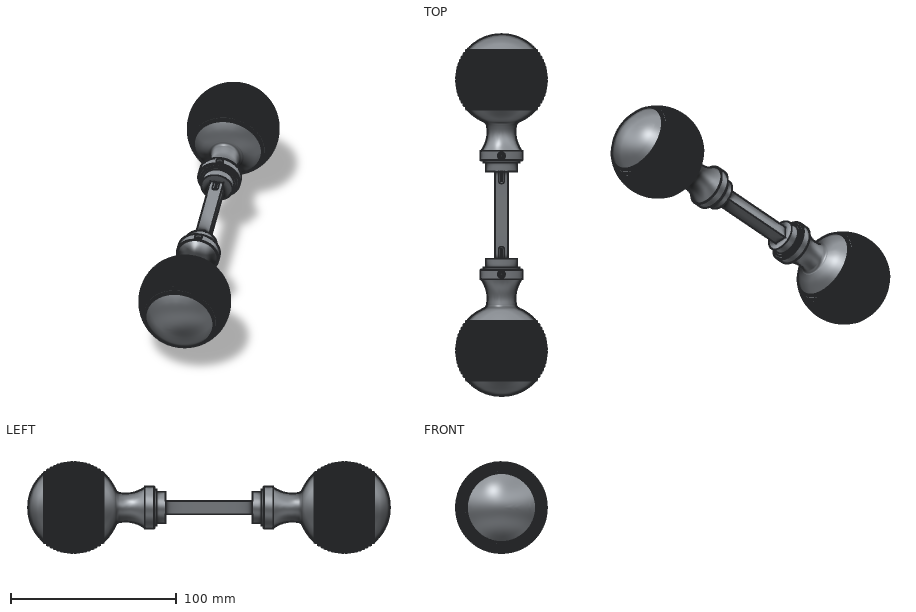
import cadquery as cq
import math

overall_length = 218.2
ball_radius = 27.5
ball_center_y = overall_length / 2 - ball_radius

rib_count = 18
rib_pitch = 2.0
rib_chamfer_length = rib_pitch / 3
rib_chamfer_depth = 0.5
band_half_width = rib_count * rib_pitch / 2

collar_radius = 12.9
collar_start_y = 32.7
collar_end_y = 38.6
collar_chamfer = 0.7
neck_wide_radius = 12.2
neck_radius = 9.0
neck_middle_y = 46.0
neck_end_y = 54.3
neck_fillet_end_radius = 11.0

bush_start_y = 26.2
bush_radius = 9.5
bush_flange_y = 31.5
bush_flange_radius = 11.0

spindle_side = 8.0
spindle_end_y = 43.6
groove_end_y = 19.0
groove_top_radius = 1.7
groove_floor_radius = 0.5
groove_depth = 0.7

screw_radius = 2.2
screw_top_z = 10.7
screw_chamfer = 0.7
socket_across_flats = 2.0
socket_depth = 2.0

spindle_top_z = spindle_side / 2
groove_floor_z = spindle_top_z - groove_depth
groove_center_y = groove_end_y + groove_top_radius
screw_y = (collar_start_y + collar_end_y) / 2


def ball_radius_at(offset):
    """Radius of the ball's cross-section at a distance from its centre along Y."""
    return math.sqrt(ball_radius**2 - offset**2)


def ball_point(y):
    return (ball_radius_at(y - ball_center_y), y)


def revolved(outline):
    return outline.close().revolve(360, (0, 0, 0), (0, 1, 0))


def rib_outline_points():
    """Corners of the chamfered ribs, whose crests lie on the ball at the middle of each rib."""
    points = []
    for index in range(rib_count):
        offset = (index - (rib_count - 1) / 2) * rib_pitch
        crest_radius = ball_radius_at(offset)
        root_radius = crest_radius - rib_chamfer_depth
        start_y = ball_center_y + offset - rib_pitch / 2
        end_y = start_y + rib_pitch
        if index != rib_count // 2:
            points.append((root_radius, start_y))
        points.append((crest_radius, start_y + rib_chamfer_length))
        points.append((crest_radius, end_y - rib_chamfer_length))
        points.append((root_radius, end_y))
    return points


def spindle_hole():
    return cq.Workplane("XY").box(spindle_side, 2 * spindle_end_y, spindle_side)


def screw_hole():
    return cq.Workplane("XY", origin=(0, screw_y, 0)).circle(screw_radius).extrude(collar_radius)


def make_knob():
    band_start_y = ball_center_y - band_half_width
    band_end_y = ball_center_y + band_half_width
    ball_start_y = ball_center_y - ball_radius_at(neck_fillet_end_radius)
    ball_end_y = ball_center_y + ball_radius
    outline = (
        cq.Workplane("XY")
        .moveTo(0, collar_start_y)
        .lineTo(collar_radius - collar_chamfer, collar_start_y)
        .lineTo(collar_radius, collar_start_y + collar_chamfer)
        .lineTo(collar_radius, collar_end_y)
        .lineTo(neck_wide_radius, collar_end_y)
        .threePointArc((neck_radius, neck_middle_y), (neck_radius, neck_end_y))
        .tangentArcPoint((neck_fillet_end_radius, ball_start_y), relative=False)
        .threePointArc(ball_point((ball_start_y + band_start_y) / 2), ball_point(band_start_y))
    )
    for point in rib_outline_points():
        outline = outline.lineTo(*point)
    outline = outline.lineTo(*ball_point(band_end_y)).threePointArc(
        ball_point((band_end_y + ball_end_y) / 2), (0, ball_end_y)
    )
    return revolved(outline).cut(spindle_hole()).cut(screw_hole())


def make_bush():
    outline = (
        cq.Workplane("XY")
        .moveTo(0, bush_start_y)
        .lineTo(bush_radius, bush_start_y)
        .lineTo(bush_radius, bush_flange_y)
        .lineTo(bush_flange_radius, bush_flange_y)
        .lineTo(bush_flange_radius, collar_start_y)
        .lineTo(0, collar_start_y)
    )
    return revolved(outline).cut(spindle_hole())


def tapered_tip(y):
    """Cone frustum that fits across the groove, from its floor to the top of the spindle."""
    base = cq.Vector(0, y, groove_floor_z)
    return cq.Workplane(cq.Solid.makeCone(groove_floor_radius, groove_top_radius, groove_depth, base))


def groove():
    """Tapered groove with a rounded inner end, open at the end of the spindle."""
    run = (
        cq.Workplane("XZ", origin=(0, spindle_end_y, 0))
        .moveTo(-groove_top_radius, spindle_top_z)
        .lineTo(groove_top_radius, spindle_top_z)
        .lineTo(groove_floor_radius, groove_floor_z)
        .lineTo(-groove_floor_radius, groove_floor_z)
        .close()
        .extrude(spindle_end_y - groove_center_y)
    )
    return run.union(tapered_tip(groove_center_y))


def make_spindle():
    bar = cq.Workplane("XY").box(spindle_side, 2 * spindle_end_y, spindle_side)
    return bar.cut(groove()).cut(groove().mirror("XZ"))


def make_screw():
    shank = (
        cq.Workplane("XY", origin=(0, screw_y, spindle_top_z))
        .circle(screw_radius)
        .extrude(screw_top_z - spindle_top_z)
        .faces(">Z")
        .chamfer(screw_chamfer)
    )
    socket = (
        cq.Workplane("XY", origin=(0, screw_y, screw_top_z - socket_depth))
        .polygon(6, socket_across_flats / math.cos(math.pi / 6))
        .extrude(socket_depth)
    )
    return shank.cut(socket).union(tapered_tip(screw_y))


bodies = [make_spindle().val()]
for make_body in (make_knob, make_bush, make_screw):
    body = make_body()
    bodies.append(body.val())
    bodies.append(body.mirror("XZ").val())

result = cq.Compound.makeCompound(bodies)